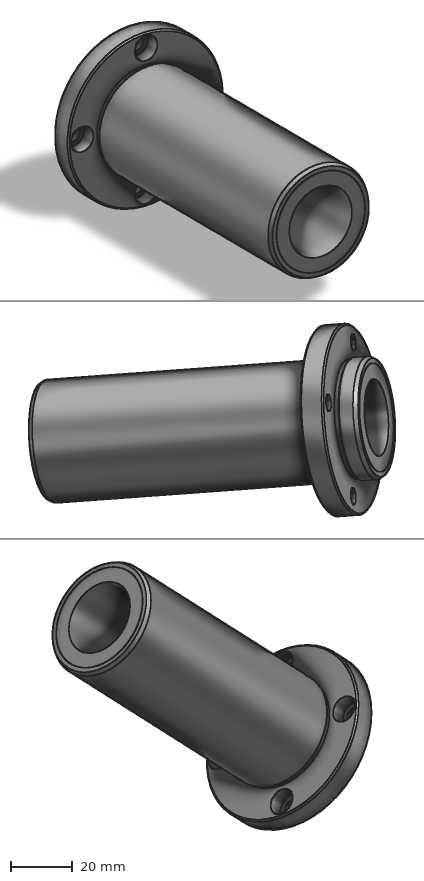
import cadquery as cq

length = 112.0
sleeve_diameter = 40.0
bore_diameter = 25.0
end_chamfer_length = 1.5
end_chamfer_depth = 0.8

recess_diameter = 35.3
recess_depth = 0.1

neck_diameter = 39.0
neck_length = 1.8
neck_chamfer = 0.5

flange_diameter = 62.0
flange_start = 8.0
flange_thickness = 8.0
flange_chamfer = 0.6
bolt_circle_diameter = 51.0
hole_count = 4
hole_diameter = 5.5
counterbore_diameter = 9.0
counterbore_depth = 5.2

flange_end = flange_start + flange_thickness
full_turn = 360


def disc(diameter, start, end):
    """Cylinder around the X axis between two X positions."""
    return cq.Workplane("YZ").workplane(offset=start).circle(diameter / 2).extrude(end - start)


def make_barrel():
    """Plain cylinder with tapered ends and a neck on each side of the flange."""
    radius = sleeve_diameter / 2
    tip_radius = radius - end_chamfer_depth
    neck_radius = neck_diameter / 2
    neck_start = flange_start - neck_length
    neck_end = flange_end + neck_length
    return (
        cq.Workplane("XY")
        .lineTo(0, tip_radius)
        .lineTo(end_chamfer_length, radius)
        .lineTo(neck_start, radius)
        .lineTo(neck_start + neck_chamfer, neck_radius)
        .lineTo(neck_end - neck_chamfer, neck_radius)
        .lineTo(neck_end, radius)
        .lineTo(length - end_chamfer_length, radius)
        .lineTo(length, tip_radius)
        .lineTo(length, 0)
        .close()
        .revolve(full_turn, (0, 0, 0), (1, 0, 0))
    )


def make_flange():
    """Round flange with both rims chamfered."""
    return disc(flange_diameter, flange_start, flange_end).edges().chamfer(flange_chamfer)


def make_screw_holes():
    """Cutters for the screw holes, counterbored on the flange face towards +X."""
    through = disc(hole_diameter, flange_start, flange_end)
    counterbore = disc(counterbore_diameter, flange_end - counterbore_depth, flange_end)
    first_hole = through.union(counterbore).translate((0, bolt_circle_diameter / 2, 0))
    cutters = cq.Workplane("XY")
    for index in range(hole_count):
        angle = index * full_turn / hole_count
        cutters = cutters.add(first_hole.rotate((0, 0, 0), (1, 0, 0), angle))
    return cutters.combine()


flange = make_flange().cut(make_screw_holes())
bore = disc(bore_diameter, 0, length)
near_recess = disc(recess_diameter, 0, recess_depth)
far_recess = disc(recess_diameter, length - recess_depth, length)
result = make_barrel().union(flange).cut(bore).cut(near_recess).cut(far_recess)